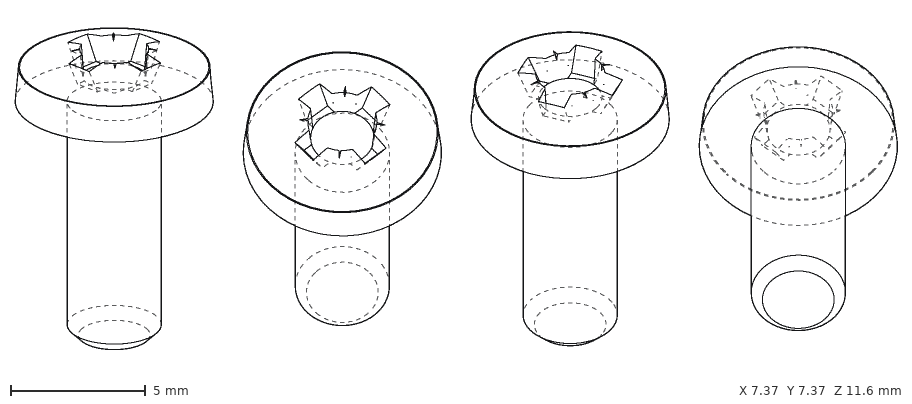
import cadquery as cq
import math

total_length = 11.64
shank_diameter = 3.5
tip_chamfer = 0.42

head_diameter = 7.37
rim_diameter = 7.12
underside_z = 9.51
rim_z = 10.91
rim_step = 0.05
dome_apex_z = 11.75

recess_floor_z = 10.52
wing_width = 1.04
wing_top_radius = 1.87
wing_floor_radius = 1.43
wing_top_z = 11.48
core_floor_radius = 1.18
core_top_radius = 1.27
drill_point_angle = 120.0
recess_corner_fillet = 0.09

mark_end_radius = 1.58
mark_end_z = 11.58
mark_slope_angle = 30.0
mark_half_angle = 12.0
mark_cutter_height = 0.47
mark_cutter_length = 0.7

cutter_top_z = total_length + 0.58


def extended_radius(floor_radius, top_radius):
    """Radius of a tapered cutter continued up to cutter_top_z."""
    slope = (top_radius - floor_radius) / (wing_top_z - recess_floor_z)
    return floor_radius + slope * (cutter_top_z - recess_floor_z)


def make_body():
    shank_radius = shank_diameter / 2
    rim_radius = rim_diameter / 2
    dome_radius = rim_radius - rim_step
    dome_height = dome_apex_z - rim_z
    sphere_radius = (dome_radius**2 + dome_height**2) / (2 * dome_height)
    half_angle = math.asin(dome_radius / sphere_radius) / 2
    arc_middle = (
        sphere_radius * math.sin(half_angle),
        dome_apex_z - sphere_radius * (1 - math.cos(half_angle)),
    )
    return (
        cq.Workplane("XZ")
        .lineTo(shank_radius - tip_chamfer, 0)
        .lineTo(shank_radius, tip_chamfer)
        .lineTo(shank_radius, underside_z)
        .lineTo(head_diameter / 2, underside_z)
        .lineTo(rim_radius, rim_z)
        .lineTo(dome_radius, rim_z)
        .threePointArc(arc_middle, (0, dome_apex_z))
        .close()
        .revolve(360, (0, 0), (0, 1))
    )


def make_core():
    """Tapered round centre of the recess."""
    return (
        cq.Workplane("XZ")
        .moveTo(0, recess_floor_z)
        .lineTo(core_floor_radius, recess_floor_z)
        .lineTo(extended_radius(core_floor_radius, core_top_radius), cutter_top_z)
        .lineTo(0, cutter_top_z)
        .close()
        .revolve(360, (0, 0), (0, 1))
    )


def make_drill_point():
    """Conical bottom below the recess floor."""
    point_depth = core_floor_radius / math.tan(math.radians(drill_point_angle / 2))
    return (
        cq.Workplane("XZ")
        .moveTo(0, recess_floor_z - point_depth)
        .lineTo(core_floor_radius, recess_floor_z)
        .lineTo(0, recess_floor_z)
        .close()
        .revolve(360, (0, 0), (0, 1))
    )


def make_wing_pair():
    """Two opposite wings with sloping ends, lying along X."""
    top_radius = extended_radius(wing_floor_radius, wing_top_radius)
    return (
        cq.Workplane("XZ")
        .moveTo(-wing_floor_radius, recess_floor_z)
        .lineTo(wing_floor_radius, recess_floor_z)
        .lineTo(top_radius, cutter_top_z)
        .lineTo(-top_radius, cutter_top_z)
        .close()
        .extrude(wing_width / 2, both=True)
    )


def make_recess():
    """Core and four wings, with the corners between them rounded."""
    wing_pair = make_wing_pair()
    recess = make_core().union(wing_pair).union(wing_pair.rotate((0, 0, 0), (0, 0, 1), 90))
    corner_reach = core_top_radius + 0.12
    corner_box = cq.selectors.BoxSelector(
        (-corner_reach, -corner_reach, recess_floor_z + 0.12),
        (corner_reach, corner_reach, cutter_top_z - 0.12),
    )
    return recess.edges(corner_box).fillet(recess_corner_fillet)


def make_mark():
    """V groove along +X whose bottom falls towards the recess."""
    slope = math.radians(mark_slope_angle)
    inward = cq.Vector(-math.cos(slope), 0, -math.sin(slope))
    half_width = mark_cutter_height * math.tan(math.radians(mark_half_angle))
    plane = cq.Plane(origin=(mark_end_radius, 0, mark_end_z), xDir=(0, -1, 0), normal=inward)
    return (
        cq.Workplane(plane)
        .lineTo(half_width, mark_cutter_height)
        .lineTo(-half_width, mark_cutter_height)
        .close()
        .extrude(mark_cutter_length)
    )


result = make_body().cut(make_recess()).cut(make_drill_point())

mark = make_mark()
for turn in (45, 135, 225, 315):
    result = result.cut(mark.rotate((0, 0, 0), (0, 0, 1), turn))